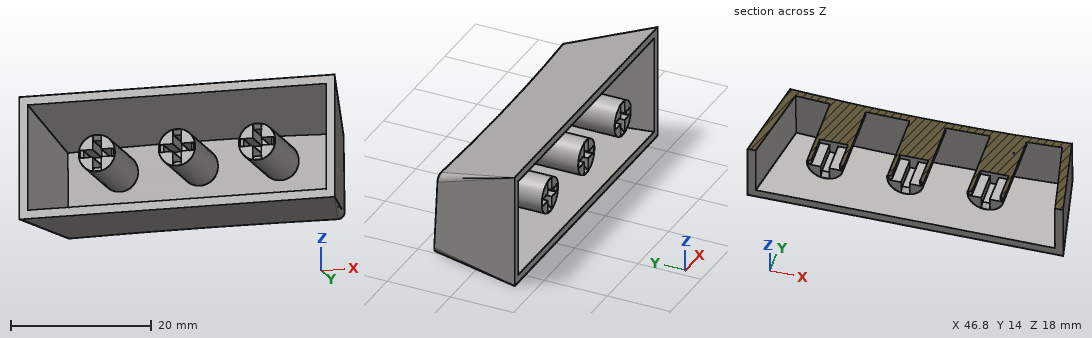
import cadquery as cq
import math

length = 46.75
height = 18.0
rim = 1.25
front_corner_radius = 0.05

back_inset = 2.52
back_bottom_y = 14.02
back_bottom_z = 0.37
back_top_y = 13.4
back_top_z = 13.5
back_corner_radius = 1.08
dish_depth = 0.7
back_thickness = 1.15

floor_inset = 3.7
floor_bottom_z = 1.5
floor_top_z = 12.5

stem_count = 3
stem_spacing = 11.87
stem_z = 8.95
stem_diameter = 5.4
stem_front_y = 0.0
across_slot_span = 4.1
upright_slot_span = 3.95
socket_depth = 4.68
across_slot_width = 1.1
upright_slot_width = 1.25
across_mouth_span = 4.95
upright_mouth_span = 5.25

mid_x = length / 2
lean = math.atan2(back_bottom_y - back_top_y, back_top_z - back_bottom_z)
backward = cq.Vector(0, math.cos(lean), math.sin(lean))
up_the_back = cq.Vector(0, -math.sin(lean), math.cos(lean))
back_foot = cq.Vector(mid_x, back_bottom_y, back_bottom_z)

dish_half_width = mid_x - back_inset
dish_radius = (dish_half_width**2 + dish_depth**2) / (2 * dish_depth)
dish_axis_foot = back_foot + backward * (dish_radius - dish_depth)


def end_outline(width, bottom, top, corner_radius=0.0):
    """Outline of one end of a tapered block; bottom and top are (y, z) points of its edges."""
    rise = math.hypot(top[0] - bottom[0], top[1] - bottom[1])
    center = (mid_x, (bottom[0] + top[0]) / 2, (bottom[1] + top[1]) / 2)
    facing = (0, bottom[1] - top[1], top[0] - bottom[0])
    plane = cq.Plane(center, (1, 0, 0), facing)
    outline = cq.Workplane(plane).rect(width, rise).val()
    if corner_radius:
        outline = outline.fillet2D(corner_radius, outline.Vertices())
    return outline


def back_plane_point(z, setback):
    """(y, z) of a point set back, along Y, from the undished back plane."""
    return back_bottom_y - (z - back_bottom_z) * math.tan(lean) - setback, z


def tapered_block(front, back, dish_surface_radius):
    """Straight-sided block between two outlines, its back hollowed by the dish."""
    block = cq.Workplane(cq.Solid.makeLoft([front, back], True))
    dish = cq.Solid.makeCylinder(
        dish_surface_radius, 3 * height, dish_axis_foot - up_the_back * height, up_the_back
    )
    return block.cut(cq.Workplane(dish))


def shell_envelope():
    front = end_outline(length, (0, 0), (0, height), front_corner_radius)
    back = end_outline(
        length - 2 * back_inset,
        (back_bottom_y, back_bottom_z),
        (back_top_y, back_top_z),
        back_corner_radius,
    )
    return tapered_block(front, back, dish_radius)


def cavity():
    front = end_outline(length - 2 * rim, (0, rim), (0, height - rim))
    floor = end_outline(
        length - 2 * floor_inset,
        back_plane_point(floor_bottom_z, back_thickness),
        back_plane_point(floor_top_z, back_thickness),
    )
    return tapered_block(front, floor, dish_radius + back_thickness)


def slot(x, span, mouth_span, width, turn):
    """Slot into a stem whose ends flare at 45 degrees to the mouth; turn is about the stem axis."""
    lead_in_depth = (mouth_span - span) / 2
    outline = [
        (-mouth_span / 2, 0),
        (mouth_span / 2, 0),
        (span / 2, lead_in_depth),
        (span / 2, socket_depth),
        (-span / 2, socket_depth),
        (-span / 2, lead_in_depth),
    ]
    cutter = cq.Workplane("XY").polyline(outline).close().extrude(width / 2, both=True)
    return cutter.rotate((0, 0, 0), (0, 1, 0), turn).translate((x, stem_front_y, stem_z))


def stem(x):
    plane = cq.Plane((x, stem_front_y, stem_z), (1, 0, 0), (0, -1, 0))
    return cq.Workplane(plane).circle(stem_diameter / 2).extrude(-back_bottom_y)


envelope = shell_envelope()
result = envelope.cut(cavity())
stem_positions = [mid_x + (i - (stem_count - 1) / 2) * stem_spacing for i in range(stem_count)]
for x in stem_positions:
    result = result.union(stem(x).intersect(envelope))
for x in stem_positions:
    result = result.cut(slot(x, across_slot_span, across_mouth_span, across_slot_width, 0))
    result = result.cut(slot(x, upright_slot_span, upright_mouth_span, upright_slot_width, 90))